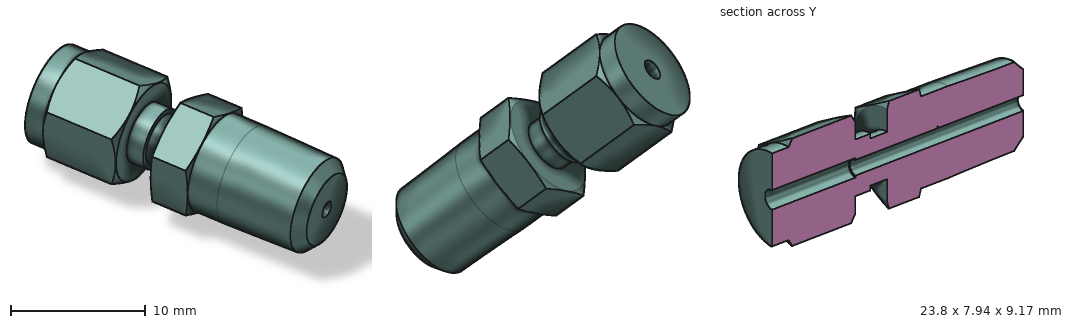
import cadquery as cq
import math

overall_length = 23.83
HEX_SIDES = 6
across_flats = 7.94
flat_radius = across_flats / 2
corner_radius = flat_radius / math.cos(math.pi / HEX_SIDES)
nut_cut_slope = math.tan(math.radians(30))

collar_end = 1.57
nut_end = 7.9
shoulder_end = 9.35
body_hex_start = 10.91
body_hex_end = 14.15
taper_start = 16.65
tip_chamfer_length = 0.85

shoulder_radius = 2.43
neck_radius = 2.03
thread_radius = 3.93
thread_end_radius = 3.8
tip_radius = 2.88

hex_face_radius = 3.93
body_corner_cut = 0.17

tube_socket_radius = 0.8
tube_socket_depth = nut_end
bore_radius = 0.65


def revolve_about_x(profile):
    """Revolve an outline of (x, radius) points, closed along the X axis, into a solid."""
    first_x = profile[0][0]
    last_x = profile[-1][0]
    outline = [(first_x, 0), *profile, (last_x, 0)]
    return cq.Workplane("XY").polyline(outline).close().revolve(360, (0, 0, 0), (1, 0, 0))


def chamfered_hex(start, end, start_radius, start_cut, end_radius, end_cut):
    """Hexagonal bar along X, corners pointing up and down, trimmed by a cone at each end."""
    angles = [2 * math.pi * i / HEX_SIDES for i in range(HEX_SIDES)]
    corners = [(corner_radius * math.sin(a), corner_radius * math.cos(a)) for a in angles]
    bar = cq.Workplane("YZ", origin=(start, 0, 0)).polyline(corners).close().extrude(end - start)
    envelope = revolve_about_x([
        (start, start_radius),
        (start + start_cut, corner_radius),
        (end - end_cut, corner_radius),
        (end, end_radius),
    ])
    return bar.intersect(envelope)


def cylinder_along_x(start, end, radius):
    """Round bar along X between two stations."""
    return cq.Workplane("YZ", origin=(start, 0, 0)).circle(radius).extrude(end - start)


collar = cylinder_along_x(0, collar_end, flat_radius)
nut_hex = chamfered_hex(
    collar_end, nut_end,
    flat_radius, (corner_radius - flat_radius) * nut_cut_slope,
    hex_face_radius, (corner_radius - hex_face_radius) * nut_cut_slope,
)

shoulder = cylinder_along_x(nut_end, shoulder_end, shoulder_radius)
neck = cylinder_along_x(shoulder_end, body_hex_start, neck_radius)
body_hex = chamfered_hex(
    body_hex_start, body_hex_end,
    hex_face_radius, body_corner_cut,
    hex_face_radius, body_corner_cut,
)
thread = revolve_about_x([
    (body_hex_end, thread_radius),
    (taper_start, thread_radius),
    (overall_length - tip_chamfer_length, thread_end_radius),
    (overall_length, tip_radius),
])

tube_socket = cylinder_along_x(0, tube_socket_depth, tube_socket_radius)
bore = cylinder_along_x(0, overall_length, bore_radius)

result = collar
for section in (nut_hex, shoulder, neck, body_hex, thread):
    result = result.union(section)
result = result.cut(tube_socket).cut(bore)